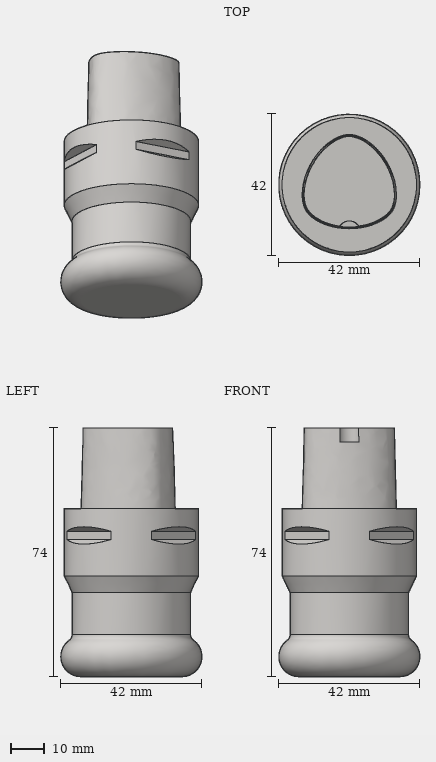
import cadquery as cq
import math

TOTAL_HEIGHT = 74.0
FLANGE_TOP = 50.0
CONE_TOP = 30.0
CONE_BOTTOM = 25.0
FOOT_TOP = 12.5

FLANGE_RADIUS = 40.0 / 2
NECK_RADIUS = 35.3 / 2
FOOT_RADIUS = 42.0 / 2
BEAD_RADIUS = 6.0

SHANK_BASE_WIDTH = 28.05
SHANK_TOP_WIDTH = 26.85
LOBE_HEIGHT = 0.95
LOBES = 3
OUTLINE_POINTS = 36

KEYWAY_RADIUS = 3.25
KEYWAY_CENTER_Y = -14.0
KEYWAY_DEPTH = 4.2

GROOVE_COUNT = 4
GROOVE_FIRST_ANGLE = 45.0
GROOVE_Z = 42.0
GROOVE_FLOOR_DISTANCE = 17.75
GROOVE_FLOOR_HEIGHT = 2.45
GROOVE_FLANK_ANGLE = 31.0


def lobed_outline(width):
    """Smooth three-lobed curve with one lobe toward +Y and two toward -Y."""
    points = []
    for i in range(OUTLINE_POINTS):
        angle = 2 * math.pi * i / OUTLINE_POINTS
        reach = width / 2 - LOBE_HEIGHT * math.sin(LOBES * angle)
        slope = -LOBES * LOBE_HEIGHT * math.cos(LOBES * angle)
        x = reach * math.cos(angle) - slope * math.sin(angle)
        y = reach * math.sin(angle) + slope * math.cos(angle)
        points.append(cq.Vector(x, y, 0))
    return cq.Wire.assembleEdges([cq.Edge.makeSpline(points, periodic=True)])


def make_shank():
    base = lobed_outline(SHANK_BASE_WIDTH).translate(cq.Vector(0, 0, FLANGE_TOP))
    top = lobed_outline(SHANK_TOP_WIDTH).translate(cq.Vector(0, 0, TOTAL_HEIGHT))
    shank = cq.Workplane(obj=cq.Solid.makeLoft([base, top], True))
    keyway = (
        cq.Workplane("XY", origin=(0, KEYWAY_CENTER_Y, TOTAL_HEIGHT - KEYWAY_DEPTH))
        .circle(KEYWAY_RADIUS)
        .extrude(KEYWAY_DEPTH)
    )
    return shank.cut(keyway)


def make_collar():
    """Turned neck, cone and flange below the shank."""
    return (
        cq.Workplane("XZ")
        .moveTo(0, FOOT_TOP)
        .lineTo(NECK_RADIUS, FOOT_TOP)
        .lineTo(NECK_RADIUS, CONE_BOTTOM)
        .lineTo(FLANGE_RADIUS, CONE_TOP)
        .lineTo(FLANGE_RADIUS, FLANGE_TOP)
        .lineTo(0, FLANGE_TOP)
        .close()
        .revolve(360, (0, 0, 0), (0, 1, 0))
    )


def make_groove(angle):
    """Trapezoidal groove cutter that widens outward, turned to its place around Z."""
    outer = FLANGE_RADIUS
    floor_half = GROOVE_FLOOR_HEIGHT / 2
    flank_rise = (outer - GROOVE_FLOOR_DISTANCE) * math.tan(math.radians(GROOVE_FLANK_ANGLE))
    mouth_half = floor_half + flank_rise
    return (
        cq.Workplane("XZ")
        .moveTo(GROOVE_FLOOR_DISTANCE, GROOVE_Z - floor_half)
        .lineTo(outer, GROOVE_Z - mouth_half)
        .lineTo(outer, GROOVE_Z + mouth_half)
        .lineTo(GROOVE_FLOOR_DISTANCE, GROOVE_Z + floor_half)
        .close()
        .extrude(FLANGE_RADIUS, both=True)
        .rotate((0, 0, 0), (0, 0, 1), angle)
    )


def make_adapter():
    adapter = make_collar().union(make_shank())
    for i in range(GROOVE_COUNT):
        adapter = adapter.cut(make_groove(GROOVE_FIRST_ANGLE + i * 360 / GROOVE_COUNT))
    return adapter


def make_foot():
    """Flat-bottomed foot with a round bead that blends smoothly up to the neck radius."""
    bead_center = FOOT_RADIUS - BEAD_RADIUS
    overhang = NECK_RADIUS - bead_center
    rise = FOOT_TOP - BEAD_RADIUS
    blend_radius = (overhang**2 + rise**2 - BEAD_RADIUS**2) / (2 * (BEAD_RADIUS - overhang))
    blend_center = NECK_RADIUS + blend_radius
    share = BEAD_RADIUS / (BEAD_RADIUS + blend_radius)
    blend_start = (bead_center + share * (blend_center - bead_center), BEAD_RADIUS + share * rise)
    half_sweep = math.atan2(rise, blend_center - bead_center) / 2
    blend_middle = (
        blend_center - blend_radius * math.cos(half_sweep),
        FOOT_TOP - blend_radius * math.sin(half_sweep),
    )
    return (
        cq.Workplane("XZ")
        .lineTo(bead_center, 0)
        .threePointArc((FOOT_RADIUS, BEAD_RADIUS), blend_start)
        .threePointArc(blend_middle, (NECK_RADIUS, FOOT_TOP))
        .lineTo(0, FOOT_TOP)
        .close()
        .revolve(360, (0, 0, 0), (0, 1, 0))
    )


adapter = make_adapter()
foot = make_foot()

result = cq.Compound.makeCompound([adapter.solids().val(), foot.val()])